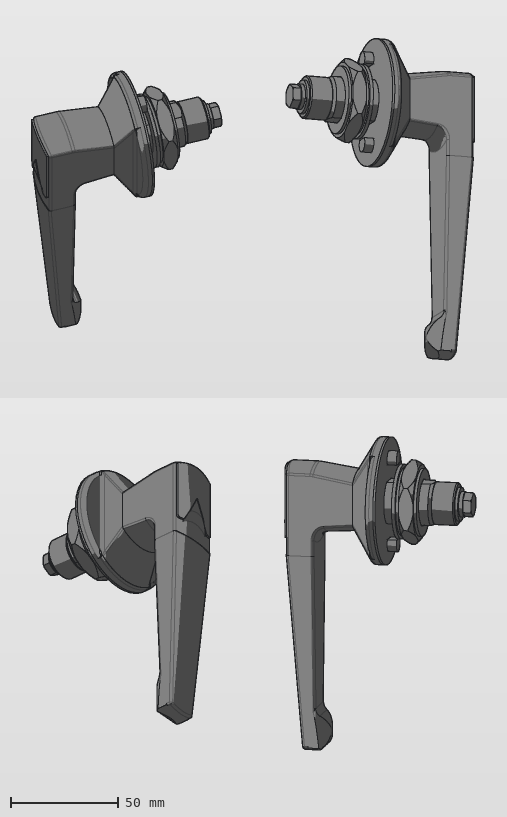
import cadquery as cq
import math


ROSETTE_RADIUS = 30.0
GASKET_THICKNESS = 1.0
RIM_FRONT = 5.1
RIM_ROUND = 2.1
HUB_RIM_ROUND = 1.5
HUB_FRONT = 14.5
HUB_BASE_HALF_WIDTH = 17.1
HUB_FOOT_ROUND = 2.2
PEG_RADIUS = 3.9
PEG_OFFSET = 20.1
PEG_FLAT_OFFSET = 17.8
PEG_LENGTH = 4.5

HALF_WIDTH = 13.0
NECK_CREST = 14.4
NECK_CROWN_RADIUS = 21.7
HEAD_TOP = 17.1
HEAD_CROWN_RADIUS = 25.2
NECK_UNDER = 15.6
NECK_UNDER_ROUND = 5.2
HEAD_BACK = 34.2
HEAD_BLEND_RADIUS = 10.5
LEVER_BACK = 33.1
FACE_DEPTH = 47.7
FACE_CROWN_RADIUS = 49.5
KNUCKLE_Z = -25.5
LEVER_FACE_DEPTH = 47.8
LEVER_CROWN_RADIUS = 54.0
TIP_FACE_DEPTH = 40.0
TIP_Z = -120.0
TIP_HALF_WIDTH = 8.0
TIP_END_RADIUS = 16.5
EDGE_ROUND = 1.2

PAD_RISE = 0.9
PAD_MARGIN = 1.2
PAD_TOP_MARGIN = 1.0
PAD_BOTTOM = -17.4
PAD_CORNER = 1.2
ARROW_TIP_Z = -1.8
ARROW_HALF_WIDTH = 8.1
ARROW_DEPTH = 49.0
ARROW_CUT_Z = -10.2
ARROW_RAMP_END = -15.6

BULGE_RADIUS = 10.2
BULGE_Z = -110.7
BULGE_BACK = 27.1
BULGE_CROWN_RADIUS = 9.1
BULGE_BLEND = 4.5

HOUSING_RADIUS = 11.0
HOUSING_HALF_FLAT = 9.9
HOUSING_LENGTH = 22.5
HOUSING_CHAMFER = 1.5
WASHER_RADIUS = 17.5
WASHER_BACK = 5.1
NUT_BACK = 6.7
NUT_HEX_BACK = 8.4
NUT_HEX_END = 15.3
NUT_END = 16.6
NUT_COLLAR_RADIUS = 15.9
NUT_ACROSS_FLATS = 35.0
NUT_CHAMFER_RADIUS = 17.7

ROTOR_RADIUS = 10.0
ROTOR_END = 33.3
ROTOR_CHAMFER = 0.6
SHOULDER_RADIUS = 8.0
SHOULDER_END = 34.6
FLANGE_RADIUS = 6.0
FLANGE_END = 36.5
SCREW_END = 40.5
SCREW_ACROSS_FLATS = 10.0
SCREW_CHAMFER = 0.5

COS30 = math.cos(math.radians(30))


def along_y(y):
    """Workplane facing -Y at the given Y: local x is X and local y is Z."""
    return cq.Workplane("XZ", origin=(0, y, 0))


def disc(radius, y_start, y_end):
    return along_y(y_end).circle(radius).extrude(y_end - y_start)


def crowned_section(plane, half_width, top, top_radius, bottom, bottom_radius):
    """Closed outline with straight sides and an arched top and bottom."""
    top_side = top - top_radius + math.sqrt(top_radius**2 - half_width**2)
    bottom_side = bottom + bottom_radius - math.sqrt(bottom_radius**2 - half_width**2)
    return (
        plane.moveTo(-half_width, bottom_side)
        .lineTo(-half_width, top_side)
        .threePointArc((0, top), (half_width, top_side))
        .lineTo(half_width, bottom_side)
        .threePointArc((0, bottom), (-half_width, bottom_side))
        .close()
    )


def rounded(body, is_rounded, radius):
    """Fillet the edges whose centres pass the given test."""
    edges = [edge for edge in body.edges().vals() if is_rounded(edge.Center())]
    return body.newObject([body.val().fillet(radius, edges)])


def pegs_at(y_front, y_back):
    """Round pegs above and below the axis, each flattened on the side toward it."""
    length = y_back - y_front
    pegs = (
        along_y(y_back)
        .pushPoints([(0, PEG_OFFSET), (0, -PEG_OFFSET)])
        .circle(PEG_RADIUS)
        .extrude(length)
    )
    return pegs.cut(along_y(y_back).rect(4 * PEG_RADIUS, 2 * PEG_FLAT_OFFSET).extrude(length))


def make_gasket():
    return disc(ROSETTE_RADIUS, -GASKET_THICKNESS, 0).cut(pegs_at(-GASKET_THICKNESS, 0))


def make_hub():
    """Hub with straight sloping side walls that curve out into the wings, and conical ends."""
    base_half_width = HUB_BASE_HALF_WIDTH + HUB_FOOT_ROUND
    flank = (
        cq.Workplane("XY", origin=(0, 0, -ROSETTE_RADIUS))
        .moveTo(-HALF_WIDTH, -HUB_FRONT)
        .lineTo(HALF_WIDTH, -HUB_FRONT)
        .lineTo(HUB_BASE_HALF_WIDTH, -RIM_FRONT)
        .lineTo(ROSETTE_RADIUS, -RIM_FRONT)
        .lineTo(ROSETTE_RADIUS, -GASKET_THICKNESS)
        .lineTo(-ROSETTE_RADIUS, -GASKET_THICKNESS)
        .lineTo(-ROSETTE_RADIUS, -RIM_FRONT)
        .lineTo(-HUB_BASE_HALF_WIDTH, -RIM_FRONT)
        .close()
        .extrude(2 * ROSETTE_RADIUS)
    )
    foot_edges = [
        cq.selectors.NearestToPointSelector((side * HUB_BASE_HALF_WIDTH, -RIM_FRONT, 0))
        for side in (-1, 1)
    ]
    for foot_edge in foot_edges:
        flank = flank.edges("|Z").edges(foot_edge).fillet(HUB_FOOT_ROUND)
    start = crowned_section(
        along_y(-RIM_FRONT), base_half_width,
        ROSETTE_RADIUS, ROSETTE_RADIUS, -ROSETTE_RADIUS, ROSETTE_RADIUS,
    )
    ends = crowned_section(
        start.workplane(offset=HUB_FRONT - RIM_FRONT), HALF_WIDTH + HUB_FOOT_ROUND,
        NECK_CREST, NECK_CROWN_RADIUS, -NECK_CREST, NECK_CROWN_RADIUS,
    ).loft(ruled=True)
    hub = flank.intersect(ends)

    def is_corner_edge(centre):
        return abs(centre.x) > HALF_WIDTH and -HUB_FRONT + 0.1 < centre.y and abs(centre.z) > 1.5

    return rounded(hub, is_corner_edge, EDGE_ROUND)


def rounded_rim():
    """Turned envelope whose outer corner is rounded into the slope of the hub's conical ends."""
    slope = math.atan2(ROSETTE_RADIUS - NECK_CREST, HUB_FRONT - RIM_FRONT)
    tangent_length = HUB_RIM_ROUND * math.tan(slope / 2)
    inner_radius = ROSETTE_RADIUS - tangent_length * math.sin(slope)
    inner_depth = RIM_FRONT + tangent_length * math.cos(slope)
    return (
        cq.Workplane("XY")
        .moveTo(0, -GASKET_THICKNESS)
        .lineTo(ROSETTE_RADIUS, -GASKET_THICKNESS)
        .lineTo(ROSETTE_RADIUS, -RIM_FRONT + tangent_length)
        .tangentArcPoint((inner_radius, -inner_depth), relative=False)
        .lineTo(inner_radius, -HUB_FRONT)
        .lineTo(0, -HUB_FRONT)
        .close()
        .revolve(360, (0, 0, 0), (0, 1, 0))
    )


def make_rosette():
    plate = disc(ROSETTE_RADIUS, -RIM_FRONT, -GASKET_THICKNESS)
    middle = cq.Workplane("XY").box(2 * HUB_BASE_HALF_WIDTH, 2 * HUB_FRONT, 3 * ROSETTE_RADIUS)
    wings = plate.faces("<Y").edges().fillet(RIM_ROUND)
    body = wings.union(plate.intersect(middle)).union(make_hub())
    body = body.intersect(rounded_rim())
    return body.union(pegs_at(-GASKET_THICKNESS, PEG_LENGTH))


def make_neck():
    start = crowned_section(
        along_y(-HUB_FRONT), HALF_WIDTH,
        NECK_CREST, NECK_CROWN_RADIUS, -NECK_CREST, NECK_CROWN_RADIUS,
    )
    return crowned_section(
        start.workplane(offset=HEAD_BACK - HUB_FRONT), HALF_WIDTH,
        HEAD_TOP, HEAD_CROWN_RADIUS, -NECK_UNDER, HEAD_CROWN_RADIUS,
    ).loft(ruled=True)


def handle_outline(y, depth):
    """Prism of the handle's outline: crowned head, tapering lever and arched tip."""
    top_side = HEAD_TOP - HEAD_CROWN_RADIUS + math.sqrt(HEAD_CROWN_RADIUS**2 - HALF_WIDTH**2)
    tip_side = TIP_Z + TIP_END_RADIUS - math.sqrt(TIP_END_RADIUS**2 - TIP_HALF_WIDTH**2)
    return (
        along_y(y)
        .moveTo(-HALF_WIDTH, KNUCKLE_Z)
        .lineTo(-HALF_WIDTH, top_side)
        .threePointArc((0, HEAD_TOP), (HALF_WIDTH, top_side))
        .lineTo(HALF_WIDTH, KNUCKLE_Z)
        .lineTo(TIP_HALF_WIDTH, tip_side)
        .threePointArc((0, TIP_Z), (-TIP_HALF_WIDTH, tip_side))
        .close()
        .extrude(depth)
    )


def head_crown(crest_depth):
    """Upright cylinder whose front crest bounds the head."""
    return (
        cq.Workplane("XY", origin=(0, FACE_CROWN_RADIUS - crest_depth, KNUCKLE_Z))
        .circle(FACE_CROWN_RADIUS)
        .extrude(2 * HEAD_TOP - KNUCKLE_Z)
    )


def lever_crown():
    """Leaning cylinder whose front crest bounds the lever below the knuckle."""
    drop = KNUCKLE_Z - TIP_Z
    lean = math.atan2(LEVER_FACE_DEPTH - TIP_FACE_DEPTH, drop)
    axis = cq.Vector(0, math.sin(lean), -math.cos(lean))
    crest = cq.Vector(0, -LEVER_FACE_DEPTH, KNUCKLE_Z)
    centre = crest + cq.Vector(0, math.cos(lean), math.sin(lean)) * LEVER_CROWN_RADIUS
    cylinder = cq.Solid.makeCylinder(LEVER_CROWN_RADIUS, 3 * drop, centre - axis * drop, axis)
    below_knuckle = cq.Workplane("XY", origin=(0, 0, KNUCKLE_Z)).rect(299.9, 299.9).extrude(-drop)
    return below_knuckle.intersect(cq.Workplane(obj=cylinder))


def make_head():
    """Flared neck and upright head down to the knuckle."""
    head = handle_outline(-HEAD_BACK, FACE_DEPTH).intersect(head_crown(FACE_DEPTH))
    root = cq.Workplane("XY", origin=(0, -HEAD_BACK, KNUCKLE_Z)).rect(
        2 * HALF_WIDTH, 2 * (HEAD_BACK - LEVER_BACK)
    ).extrude(-KNUCKLE_Z)
    body = make_neck().union(head).union(root)

    def is_crown_bend(centre):
        return abs(centre.x) < 1.5 and abs(centre.y + HEAD_BACK) < 0.1 and centre.z > 0

    def is_under_corner(centre):
        return abs(centre.x) < 1.5 and abs(centre.y + LEVER_BACK) < 0.1 and KNUCKLE_Z < centre.z - 0.1 < 0

    def is_outer_edge(centre):
        on_side = abs(centre.x) > HALF_WIDTH - 0.1
        on_face = centre.y < -LEVER_BACK - 1.5
        return (on_side or on_face) and centre.y < -HUB_FRONT - 0.1 and centre.z > KNUCKLE_Z + 0.1

    body = rounded(body, is_under_corner, NECK_UNDER_ROUND)
    body = rounded(body, is_crown_bend, HEAD_BLEND_RADIUS)
    return rounded(body, is_outer_edge, EDGE_ROUND)


def make_lever():
    """Tapering lever from the knuckle to the tip."""
    lever = handle_outline(-LEVER_BACK, FACE_DEPTH).intersect(lever_crown())
    return rounded(lever, lambda centre: centre.z < KNUCKLE_Z - 0.1, EDGE_ROUND)


def make_bulge():
    """Rounded finger stop, crowned across its width and blended into the lever's back."""
    centre_y = -BULGE_BACK - BULGE_RADIUS
    reach = BULGE_RADIUS + BULGE_BLEND
    blend_y = -LEVER_BACK + BULGE_BLEND
    rise = math.sqrt(reach**2 - (blend_y - centre_y) ** 2)
    blend_z = BULGE_Z + rise
    touch = BULGE_RADIUS / reach
    touch_point = (centre_y + (blend_y - centre_y) * touch, BULGE_Z + rise * touch)
    half_angle = (math.atan2(-rise, centre_y - blend_y) + 2 * math.pi + math.pi) / 2
    blend_mid = (blend_y + BULGE_BLEND * math.cos(half_angle), blend_z + BULGE_BLEND * math.sin(half_angle))
    front = -LEVER_BACK - 3
    bottom = BULGE_Z - BULGE_RADIUS
    profile = (
        cq.Workplane("YZ", origin=(-HALF_WIDTH, 0, 0))
        .moveTo(front, blend_z)
        .lineTo(-LEVER_BACK, blend_z)
        .threePointArc(blend_mid, touch_point)
        .threePointArc((-BULGE_BACK, BULGE_Z), (centre_y, bottom))
        .lineTo(front, BULGE_Z)
        .close()
        .extrude(2 * HALF_WIDTH)
    )
    crown = (
        cq.Workplane("XY", origin=(0, -BULGE_BACK - BULGE_CROWN_RADIUS, TIP_Z))
        .circle(BULGE_CROWN_RADIUS)
        .extrude(KNUCKLE_Z - TIP_Z)
    )
    outline = handle_outline(-BULGE_BACK, FACE_DEPTH)
    return profile.intersect(crown).intersect(outline)


def make_pad():
    """Raised pad with a notch for the arrow in its lower edge."""
    half = HALF_WIDTH - PAD_MARGIN
    plate = (
        along_y(-LEVER_BACK)
        .moveTo(-half, PAD_BOTTOM)
        .lineTo(-half, HEAD_TOP)
        .lineTo(half, HEAD_TOP)
        .lineTo(half, PAD_BOTTOM)
        .lineTo(ARROW_HALF_WIDTH, PAD_BOTTOM)
        .lineTo(0, ARROW_TIP_Z)
        .lineTo(-ARROW_HALF_WIDTH, PAD_BOTTOM)
        .close()
        .extrude(FACE_DEPTH)
    )
    lower = cq.selectors.BoxSelector((-45, -148.5, PAD_BOTTOM - 1.5), (45, 0, PAD_BOTTOM + 1.5))
    plate = plate.edges("|Y").edges(lower).fillet(PAD_CORNER)
    outline = handle_outline(-LEVER_BACK, FACE_DEPTH).translate((0, 0, -PAD_TOP_MARGIN))
    return plate.intersect(head_crown(FACE_DEPTH + PAD_RISE)).intersect(outline)


def make_arrow():
    """Pointed rise whose lower end ramps down to the head's front face."""
    wedge = (
        along_y(-LEVER_BACK)
        .moveTo(-ARROW_HALF_WIDTH, KNUCKLE_Z)
        .lineTo(-ARROW_HALF_WIDTH, PAD_BOTTOM)
        .lineTo(0, ARROW_TIP_Z)
        .lineTo(ARROW_HALF_WIDTH, PAD_BOTTOM)
        .lineTo(ARROW_HALF_WIDTH, KNUCKLE_Z)
        .close()
        .extrude(FACE_DEPTH)
    )
    ramp_slope = (ARROW_CUT_Z - ARROW_RAMP_END) / (ARROW_DEPTH - FACE_DEPTH)
    ramp_foot = ARROW_RAMP_END - ramp_slope * (FACE_DEPTH - LEVER_BACK)
    side = (
        cq.Workplane("YZ", origin=(-HALF_WIDTH, 0, 0))
        .moveTo(-LEVER_BACK, ARROW_TIP_Z)
        .lineTo(-ARROW_DEPTH, ARROW_TIP_Z)
        .lineTo(-ARROW_DEPTH, ARROW_CUT_Z)
        .lineTo(-FACE_DEPTH, ARROW_RAMP_END)
        .lineTo(-LEVER_BACK, ramp_foot)
        .close()
        .extrude(2 * HALF_WIDTH)
    )
    return wedge.intersect(side).intersect(head_crown(ARROW_DEPTH))


def make_handle():
    body = make_head().union(make_lever())
    return body.union(make_bulge()).union(make_pad()).union(make_arrow())


def make_housing():
    body = disc(HOUSING_RADIUS, 0, HOUSING_LENGTH).faces(">Y").chamfer(HOUSING_CHAMFER)
    flats = cq.Workplane("XY").box(
        2 * HOUSING_RADIUS, 2 * HOUSING_LENGTH, 2 * HOUSING_HALF_FLAT
    )
    return body.intersect(flats)


def make_washer():
    return disc(WASHER_RADIUS, WASHER_BACK, NUT_BACK).cut(disc(HOUSING_RADIUS, 0, HOUSING_LENGTH))


def hexagon(across_flats, y_start, y_end):
    """Hexagonal prism with two corners pointing up and down."""
    return (
        along_y(y_end)
        .transformed(rotate=(0, 0, 90))
        .polygon(6, across_flats / COS30)
        .extrude(y_end - y_start)
    )


def make_nut():
    corner = NUT_ACROSS_FLATS / COS30 / 2
    hexagonal = hexagon(NUT_ACROSS_FLATS, NUT_HEX_BACK, NUT_HEX_END)
    cone = disc(corner, NUT_HEX_BACK, NUT_HEX_END).edges().chamfer(corner - NUT_CHAMFER_RADIUS)
    collars = disc(NUT_COLLAR_RADIUS, NUT_BACK, NUT_END)
    bore = disc(HOUSING_RADIUS, 0, HOUSING_LENGTH)
    return hexagonal.intersect(cone).union(collars).cut(bore)


def make_rotor():
    barrel = disc(ROTOR_RADIUS, HOUSING_LENGTH, ROTOR_END).faces(">Y").chamfer(ROTOR_CHAMFER)
    return barrel.union(disc(SHOULDER_RADIUS, ROTOR_END, SHOULDER_END))


def make_screw():
    corner = SCREW_ACROSS_FLATS / COS30 / 2
    cone = disc(corner, FLANGE_END, SCREW_END).faces(">Y").chamfer(SCREW_CHAMFER)
    head = hexagon(SCREW_ACROSS_FLATS, FLANGE_END, SCREW_END).intersect(cone)
    return head.union(disc(FLANGE_RADIUS, SHOULDER_END, FLANGE_END))


handle = make_handle()
rosette = make_rosette()
gasket = make_gasket()
housing = make_housing()
washer = make_washer()
nut = make_nut()
rotor = make_rotor()
screw = make_screw()

result = cq.Compound.makeCompound([
    handle.val(), rosette.val(), gasket.val(), housing.val(),
    washer.val(), nut.val(), rotor.val(), screw.val(),
])